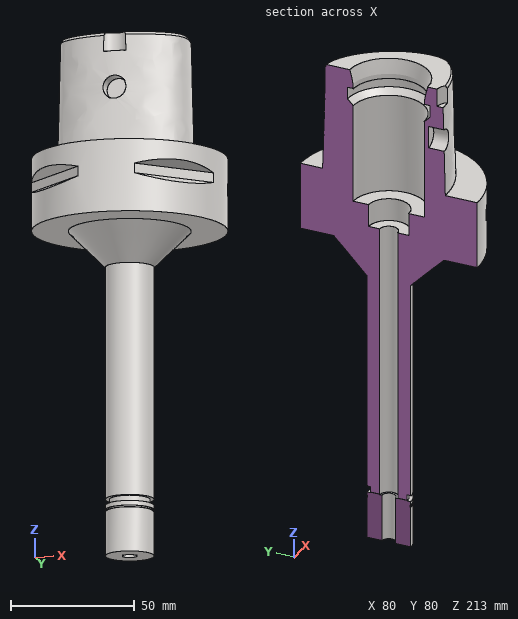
import cadquery as cq
import math

total_length = 213.0

taper_length = 48.0
lobe_mean_radius = 27.8
lobe_offset = 2.2
taper_ratio = 1 / 40
rim_chamfer_height = 1.3
rim_chamfer_width = 0.7
lobe_spline_points = 48

flange_radius = 40.0
flange_height = 30.0
slot_below_flange_top = 12.2
slot_floor_distance = 35.4
slot_floor_height = 4.0
slot_bevel_angle = 30.0
slot_count = 4
slot_first_angle = 45.0

shaft_radius = 10.0
cone_height = 15.0
neck_radius = 8.3
neck_height = 2.5

nut_height = 21.0
nut_groove_height = 0.7
nut_groove_depth = 0.25
nut_groove_below_top = 1.9
nut_bore_radius = 3.0

bore_mouth_radius = 17.5
bore_mouth_depth = 6.5
bore_lip_radius = 16.0
bore_lip_height = 2.0
clamp_groove_radius = 18.6
clamp_groove_bottom_depth = 13.6
bore_depth = 60.0
inner_bore_radius = 9.0
inner_bore_depth = 70.0
coolant_bore_radius = 4.0

notch_radius = 5.7
notch_depth = 7.9
notch_reach = 21.9
pocket_radius = 4.8
pocket_height = 25.0
pocket_floor_distance = 18.0

coupling_top = total_length
flange_top = coupling_top - taper_length
flange_bottom = flange_top - flange_height
cone_bottom = flange_bottom - cone_height
neck_top = nut_height + neck_height


def lobe_wire(mean_radius, level):
    """Three-lobed constant-width outline with one lobe on +Y, starting at -Y."""

    def point(angle):
        support = mean_radius + lobe_offset * math.cos(3 * angle)
        slope = -3 * lobe_offset * math.sin(3 * angle)
        along = support * math.cos(angle) - slope * math.sin(angle)
        across = support * math.sin(angle) + slope * math.cos(angle)
        return cq.Vector(-across, along, level)

    step = 2 * math.pi / lobe_spline_points
    points = [point(math.pi + index * step) for index in range(lobe_spline_points)]
    return cq.Wire.assembleEdges([cq.Edge.makeSpline(points, periodic=True)])


def make_coupling():
    """Tapered coupling shank, chamfered around its top rim."""
    chamfer_level = coupling_top - rim_chamfer_height
    chamfer_radius = lobe_mean_radius - taper_ratio * (chamfer_level - flange_top)
    base_wire = lobe_wire(lobe_mean_radius, flange_top)
    chamfer_wire = lobe_wire(chamfer_radius, chamfer_level)
    top_wire = lobe_wire(chamfer_radius - rim_chamfer_width, coupling_top)
    return cq.Workplane(cq.Solid.makeLoft([base_wire, chamfer_wire, top_wire], True))


def make_lower_body():
    """Flange, back cone, shaft and neck, turned about the tool axis."""
    return (
        cq.Workplane("XZ")
        .moveTo(0, nut_height)
        .lineTo(neck_radius, nut_height)
        .lineTo(neck_radius, neck_top)
        .lineTo(shaft_radius, neck_top)
        .lineTo(shaft_radius, cone_bottom)
        .lineTo(shaft_radius + cone_height, flange_bottom)
        .lineTo(flange_radius, flange_bottom)
        .lineTo(flange_radius, flange_top)
        .lineTo(0, flange_top)
        .close()
        .revolve(360, (0, 0), (0, 1))
    )


def make_bore():
    """Stepped clamping bore with its undercut groove, down to the coolant bore."""
    lip_top = coupling_top - bore_mouth_depth
    lip_bottom = lip_top - bore_lip_height
    groove_bottom = coupling_top - clamp_groove_bottom_depth
    groove_cone_bottom = groove_bottom - (clamp_groove_radius - bore_lip_radius)
    bore_floor = coupling_top - bore_depth
    inner_floor = coupling_top - inner_bore_depth
    return (
        cq.Workplane("XZ")
        .moveTo(0, coupling_top)
        .lineTo(bore_mouth_radius, coupling_top)
        .lineTo(bore_lip_radius, lip_top)
        .lineTo(bore_lip_radius, lip_bottom)
        .lineTo(clamp_groove_radius, lip_bottom)
        .lineTo(clamp_groove_radius, groove_bottom)
        .lineTo(bore_lip_radius, groove_cone_bottom)
        .lineTo(bore_lip_radius, bore_floor)
        .lineTo(inner_bore_radius, bore_floor)
        .lineTo(inner_bore_radius, inner_floor)
        .lineTo(coolant_bore_radius, inner_floor)
        .lineTo(coolant_bore_radius, nut_height)
        .lineTo(0, nut_height)
        .close()
        .revolve(360, (0, 0), (0, 1))
    )


def make_gripper_slot(angle):
    """Straight slot across the flange rim, with bevelled upper and lower walls."""
    floor_half = slot_floor_height / 2
    depth = flange_radius - slot_floor_distance
    mouth_half = floor_half + depth * math.tan(math.radians(slot_bevel_angle))
    slot = (
        cq.Workplane("XZ")
        .moveTo(slot_floor_distance, -floor_half)
        .lineTo(flange_radius, -mouth_half)
        .lineTo(flange_radius, mouth_half)
        .lineTo(slot_floor_distance, floor_half)
        .close()
        .extrude(flange_radius, both=True)
    )
    slot_level = flange_top - slot_below_flange_top
    return slot.translate((0, 0, slot_level)).rotate((0, 0, 0), (0, 0, 1), angle)


def make_notch():
    """Round-backed notch in the top rim."""
    return (
        cq.Workplane("XY", origin=(0, -notch_reach - notch_radius, coupling_top - notch_depth))
        .circle(notch_radius)
        .extrude(notch_depth)
    )


def make_pocket():
    """Flat-bottomed round pocket in the side of the coupling."""
    pocket_origin = (0, -pocket_floor_distance, flange_top + pocket_height)
    return (
        cq.Workplane("XZ", origin=pocket_origin)
        .circle(pocket_radius)
        .extrude(flange_radius - pocket_floor_distance)
    )


def make_holder():
    holder = make_lower_body().union(make_coupling())
    holder = holder.cut(make_bore()).cut(make_notch()).cut(make_pocket())
    for index in range(slot_count):
        holder = holder.cut(make_gripper_slot(slot_first_angle + index * 360 / slot_count))
    return holder


def make_nut():
    """Clamping nut below the neck, with a fine groove near its top."""
    groove_top = nut_height - nut_groove_below_top
    nut = cq.Workplane("XY").circle(shaft_radius).circle(nut_bore_radius).extrude(nut_height)
    groove = (
        cq.Workplane("XY", origin=(0, 0, groove_top - nut_groove_height))
        .circle(shaft_radius)
        .circle(shaft_radius - nut_groove_depth)
        .extrude(nut_groove_height)
    )
    return nut.cut(groove)


holder = make_holder()
nut = make_nut()
result = cq.Compound.makeCompound([holder.val(), nut.val()])